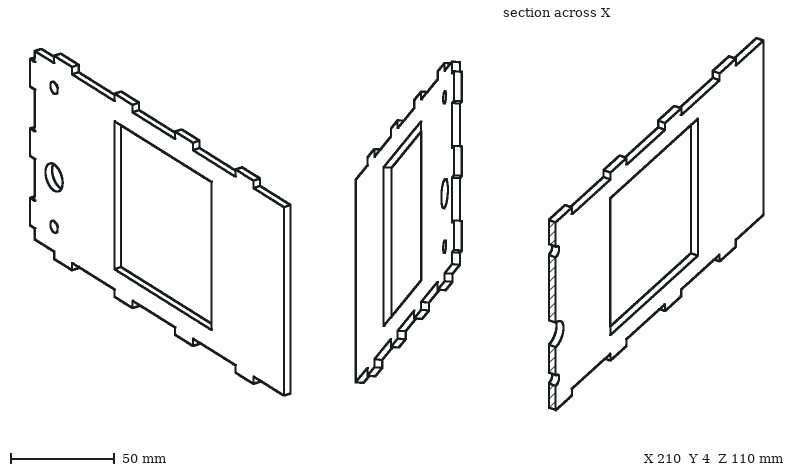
import cadquery as cq

length = 210.0
height = 110.0
thickness = 4.0

tab_depth = thickness
tab_width = 15.0
long_edge_tab_count = 4
long_edge_tab_pitch = 50.0
first_tab_start = 20.0
end_tab_pitch = 37.5

window_size = 80.0
window_start = 70.0

hole_column = first_tab_start
small_hole_diameter = 6.0
small_hole_offset = end_tab_pitch
large_hole_diameter = 14.0
large_hole_offset = -11.0


def block(x_start, x_size, z_center, z_size):
    """Full-thickness block, symmetric about the mid-plane of the sheet."""
    center = (x_start + x_size / 2, 0, z_center)
    return cq.Workplane("XY").box(x_size, thickness, z_size).translate(center)


def round_cutter(z_center, diameter):
    """Cylinder through the sheet in the hole column."""
    return (
        cq.Workplane("XZ", origin=(0, thickness / 2, 0))
        .center(hole_column, z_center)
        .circle(diameter / 2)
        .extrude(thickness)
    )


result = block(tab_depth, length - tab_depth, 0, height - 2 * tab_depth)

for index in range(long_edge_tab_count):
    tab_start = first_tab_start + index * long_edge_tab_pitch
    result = result.union(block(tab_start, tab_width, 0, height))

for row in (-1, 0, 1):
    result = result.union(block(0, 2 * tab_depth, row * end_tab_pitch, tab_width))

result = result.cut(block(window_start, window_size, 0, window_size))

for side in (-1, 1):
    result = result.cut(round_cutter(side * small_hole_offset, small_hole_diameter))
result = result.cut(round_cutter(large_hole_offset, large_hole_diameter))